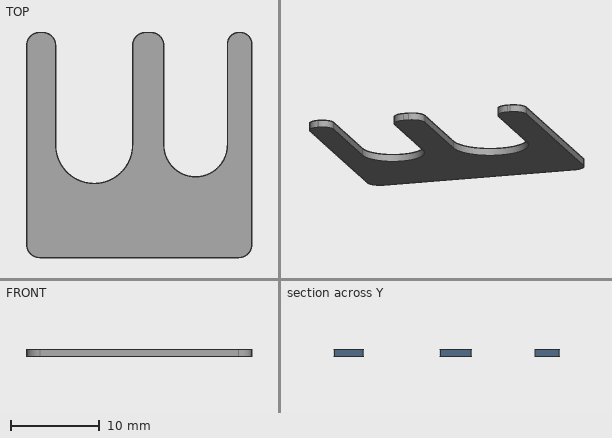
import cadquery as cq

side = 25.4
thickness = 0.81
corner_radius = 1.5
right_tip_radius = 1.35

slot_center_y = 0.0
wide_slot_x = -5.08
wide_slot_diameter = 8.64
narrow_slot_x = 6.35
narrow_slot_diameter = 7.14

half_side = side / 2
middle_tine_right_x = narrow_slot_x - narrow_slot_diameter / 2
right_tine_left_x = narrow_slot_x + narrow_slot_diameter / 2

selection_margin = 0.01


def open_slot(center_x, diameter):
    """Cutter with a round bottom, running out to the +Y edge."""
    radius = diameter / 2
    left_x = center_x - radius
    right_x = center_x + radius
    return (
        cq.Workplane("XY")
        .moveTo(left_x, half_side)
        .lineTo(left_x, slot_center_y)
        .threePointArc((center_x, slot_center_y - radius), (right_x, slot_center_y))
        .lineTo(right_x, half_side)
        .close()
        .extrude(thickness)
    )


def round_corners(body, x_min, x_max, edge_y, radius):
    """Fillet the upright edges at Y = edge_y whose X lies from x_min to x_max."""
    corners = cq.selectors.BoxSelector(
        (x_min - selection_margin, edge_y - selection_margin, 0),
        (x_max + selection_margin, edge_y + selection_margin, thickness),
    )
    return body.edges("|Z").edges(corners).fillet(radius)


plate = cq.Workplane("XY").rect(side, side).extrude(thickness)
plate = plate.cut(open_slot(wide_slot_x, wide_slot_diameter))
plate = plate.cut(open_slot(narrow_slot_x, narrow_slot_diameter))

plate = round_corners(plate, -half_side, half_side, -half_side, corner_radius)
plate = round_corners(plate, -half_side, middle_tine_right_x, half_side, corner_radius)
plate = round_corners(plate, right_tine_left_x, half_side, half_side, right_tip_radius)

result = plate